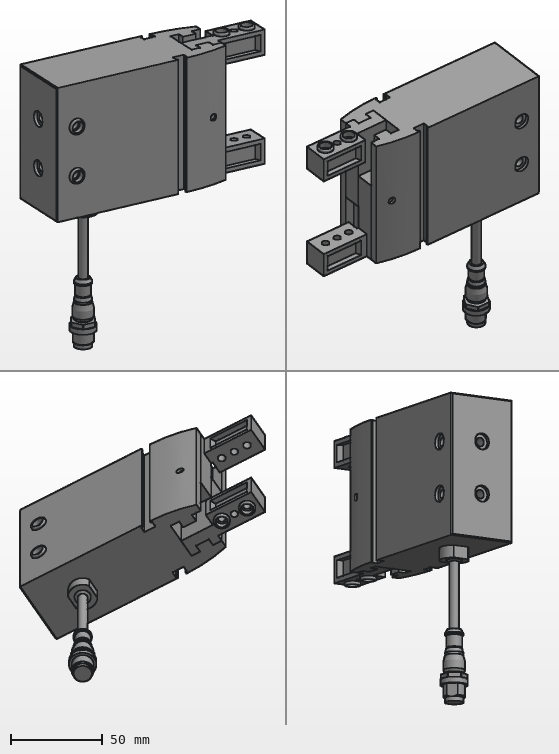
import cadquery as cq
import math


HOUSING_WIDTH = 39.0
HOUSING_HEIGHT = 79.3
HOUSING_LENGTH = 109.8
HALF_WIDTH = HOUSING_WIDTH / 2
MID_HEIGHT = HOUSING_HEIGHT / 2
REAR_CHAMFER = 0.7
NOSE_START = 82.8
NOSE_TAPER = 3.8
PIN_HOLE_DIAMETER = 4.0
PIN_HOLE_DEPTH = 3.3
PIN_HOLE_Y = 100.6

GROOVE_Y = 80.0
GROOVE_LENGTH = 7.0
GROOVE_MOUTH = 5.2
GROOVE_DEPTH = 4.5
GROOVE_LIP = 1.2

SLOT_REAR = 90.8
SLOT_HALF_WIDTH = 11.2
NECK_HALF_WIDTH = 6.8
NECK_REAR = 96.1
NECK_FRONT = 104.3

MOUNT_DIAMETER = 4.8
MOUNT_SPACING = 29.0
MOUNT_Y = 12.5
MOUNT_HEIGHTS = [MID_HEIGHT - MOUNT_SPACING / 2, MID_HEIGHT + MOUNT_SPACING / 2]

SLEEVE_DIAMETER = 9.0
SLEEVE_BORE = 6.7
SLEEVE_RISE = 1.7
SLEEVE_SINK = 2.0
SLEEVE_ROUND = 0.7

FINGER_WIDTH = 14.9
FINGER_HEIGHT = 15.0
FINGER_TIP = 139.5
SLIDE_HEIGHT = 50.0
FINGER_CLEARANCE = 1.0
FINGER_BOLT_DIAMETER = 4.2
FINGER_DOWEL_DIAMETER = 4.0
FINGER_HOLE_PITCH = 8.0
FINGER_DOWEL_Y = 124.5
FINGER_BOLT_YS = [FINGER_DOWEL_Y - FINGER_HOLE_PITCH, FINGER_DOWEL_Y + FINGER_HOLE_PITCH]
POCKET_REAR = 113.7
POCKET_FRONT = 136.9
POCKET_HEIGHT = 9.7
POCKET_DEPTH = 3.2
POCKET_END_RUN = 1.5

CABLE_Y = 28.5
CABLE_DIAMETER = 5.5
GLAND_DIAMETER = 16.0
GLAND_FLATS = 13.4
GLAND_HEIGHT = 6.8
GLAND_LIP_DIAMETER = 9.0
GLAND_LIP_HEIGHT = 0.8
PLUG_TOP = -45.4
COLLAR_DIAMETER = 7.7
RING_DIAMETER = 10.2
RING_TOP = -47.5
RING_BOTTOM = -48.4
BARREL_DIAMETER = 8.8
BARREL_TOP = -48.9
BARREL_BOTTOM = -55.4
BARREL_GROOVE_WIDTH = 0.5
SHOULDER_TOP = -58.4
SHOULDER_GROOVE_WIDTH = 1.3
GRIP_TOP = -63.3
GRIP_BOTTOM = -68.0
GRIP_END = -69.6
GRIP_DIAMETER = 12.0
GRIP_END_DIAMETER = 10.5
PLUG_GROOVE_DEPTH = 0.3
PLUG_NECK_DIAMETER = 8.3
NUT_TOP = -70.5
NUT_FLANGE_TOP = -73.1
NUT_FLANGE_BOTTOM = -76.3
NUT_DIAMETER = 15.0
NUT_FLATS = 13.0
NUT_CORNER_DIAMETER = 14.7
SHELL_BOTTOM = -83.5
SHELL_CHAMFER = 0.7
SHELL_FLAT_DISTANCE = 5.2
SHELL_FLAT_ANGLE = 225
PLUG_BOTTOM = -86.0


def box(x_range, y_range, z_range):
    """Axis-aligned box between the given limits."""
    (x0, x1), (y0, y1), (z0, z1) = x_range, y_range, z_range
    return cq.Workplane("XY").box(x1 - x0, y1 - y0, z1 - z0, centered=False).translate((x0, y0, z0))


def rod(diameter, start, direction, length):
    """Cylinder that runs from a start point along a direction."""
    solid = cq.Solid.makeCylinder(diameter / 2, length, cq.Vector(*start), cq.Vector(*direction))
    return cq.Workplane(solid)



def housing_blank():
    """Block with a chamfered rear face and sides that curve inward at the front."""
    nose_length = HOUSING_LENGTH - NOSE_START
    nose_radius = (nose_length**2 + NOSE_TAPER**2) / (2 * NOSE_TAPER)
    half_angle = math.asin(nose_length / nose_radius) / 2
    arc_x = HALF_WIDTH - nose_radius * (1 - math.cos(half_angle))
    arc_y = NOSE_START + nose_radius * math.sin(half_angle)
    nose_half_width = HALF_WIDTH - NOSE_TAPER
    blank = (
        cq.Workplane("XY")
        .moveTo(-HALF_WIDTH, 0)
        .lineTo(HALF_WIDTH, 0)
        .lineTo(HALF_WIDTH, NOSE_START)
        .threePointArc((arc_x, arc_y), (nose_half_width, HOUSING_LENGTH))
        .lineTo(-nose_half_width, HOUSING_LENGTH)
        .threePointArc((-arc_x, arc_y), (-HALF_WIDTH, NOSE_START))
        .close()
        .extrude(HOUSING_HEIGHT)
    )
    return blank.faces("<Y").chamfer(REAR_CHAMFER)


def side_groove(side):
    """Cutter for the undercut groove on the side with the given X sign."""
    def strip(length, near, far):
        width = far - near
        return (
            cq.Workplane("XY")
            .center(side * (HALF_WIDTH - near - width / 2), GROOVE_Y)
            .rect(width, length)
            .extrude(HOUSING_HEIGHT)
        )

    return strip(GROOVE_MOUTH, 0, GROOVE_DEPTH).union(strip(GROOVE_LENGTH, GROOVE_LIP, GROOVE_DEPTH))


def guide(left_sign, right_sign, z_range):
    """T-shaped guide; a sign of 0 ends it on the middle plane instead of at the full half-width."""
    rear_flange = (SLOT_HALF_WIDTH, (SLOT_REAR, NECK_REAR))
    neck = (NECK_HALF_WIDTH, (SLOT_REAR, HOUSING_LENGTH))
    front_flange = (SLOT_HALF_WIDTH, (NECK_FRONT, HOUSING_LENGTH))
    solid = cq.Workplane("XY")
    for half_width, y_range in (rear_flange, neck, front_flange):
        solid = solid.union(box((left_sign * half_width, right_sign * half_width), y_range, z_range))
    return solid


def mounting_holes():
    """Cutters for the crossing mounting holes with a sleeve seat at every mouth."""
    cutters = []
    for z in MOUNT_HEIGHTS:
        left = (-HALF_WIDTH, MOUNT_Y, z)
        right = (HALF_WIDTH, MOUNT_Y, z)
        rear = (0, 0, z)
        cutters.append(rod(MOUNT_DIAMETER, left, (1, 0, 0), HOUSING_WIDTH))
        cutters.append(rod(MOUNT_DIAMETER, rear, (0, 1, 0), MOUNT_Y))
        cutters.append(rod(SLEEVE_DIAMETER, left, (1, 0, 0), SLEEVE_SINK))
        cutters.append(rod(SLEEVE_DIAMETER, right, (-1, 0, 0), SLEEVE_SINK))
        cutters.append(rod(SLEEVE_DIAMETER, rear, (0, 1, 0), SLEEVE_SINK))
    return cutters


def cable_profile():
    """Turned cable and plug: radii against Z."""
    lip_bottom = -GLAND_HEIGHT - GLAND_LIP_HEIGHT
    barrel_groove_diameter = BARREL_DIAMETER - 2 * PLUG_GROOVE_DEPTH
    barrel_groove_bottom = BARREL_BOTTOM - BARREL_GROOVE_WIDTH
    shoulder_groove_diameter = RING_DIAMETER - 2 * PLUG_GROOVE_DEPTH
    shoulder_groove_bottom = SHOULDER_TOP - SHOULDER_GROOVE_WIDTH
    diameters_and_heights = [
        (GLAND_LIP_DIAMETER, 0),
        (GLAND_LIP_DIAMETER, -GLAND_HEIGHT),
        (CABLE_DIAMETER, lip_bottom),
        (CABLE_DIAMETER, PLUG_TOP),
        (COLLAR_DIAMETER, PLUG_TOP),
        (RING_DIAMETER, RING_TOP),
        (RING_DIAMETER, RING_BOTTOM),
        (BARREL_DIAMETER, BARREL_TOP),
        (BARREL_DIAMETER, BARREL_BOTTOM),
        (barrel_groove_diameter, BARREL_BOTTOM),
        (barrel_groove_diameter, barrel_groove_bottom),
        (BARREL_DIAMETER, barrel_groove_bottom),
        (RING_DIAMETER, SHOULDER_TOP),
        (shoulder_groove_diameter, SHOULDER_TOP),
        (shoulder_groove_diameter, shoulder_groove_bottom),
        (RING_DIAMETER, shoulder_groove_bottom),
        (GRIP_DIAMETER, GRIP_TOP),
        (GRIP_DIAMETER, GRIP_BOTTOM),
        (GRIP_END_DIAMETER, GRIP_END),
        (PLUG_NECK_DIAMETER, GRIP_END),
        (PLUG_NECK_DIAMETER, NUT_FLANGE_TOP),
        (NUT_DIAMETER, NUT_FLANGE_TOP),
        (NUT_DIAMETER, NUT_FLANGE_BOTTOM),
        (GRIP_DIAMETER, NUT_FLANGE_BOTTOM),
        (GRIP_DIAMETER, SHELL_BOTTOM + SHELL_CHAMFER),
        (GRIP_DIAMETER - 2 * SHELL_CHAMFER, SHELL_BOTTOM),
        (RING_DIAMETER, SHELL_BOTTOM),
        (RING_DIAMETER, PLUG_BOTTOM),
    ]
    points = [(diameter / 2, z) for diameter, z in diameters_and_heights]
    return [(0, 0)] + points + [(0, PLUG_BOTTOM)]


def cable():
    """Gland, cable and plug on the axis X = 0, Y = CABLE_Y."""
    body = cq.Workplane("XZ").polyline(cable_profile()).close().revolve(360, (0, 0), (0, 1))

    gland = cq.Workplane("XY").circle(GLAND_DIAMETER / 2).extrude(-GLAND_HEIGHT)
    gland = gland.intersect(cq.Workplane("XY").rect(GLAND_DIAMETER, GLAND_FLATS).extrude(-GLAND_HEIGHT))

    nut_height = NUT_TOP - NUT_FLANGE_TOP
    nut_plane = cq.Workplane("XY").workplane(offset=NUT_FLANGE_TOP)
    nut = nut_plane.polygon(6, NUT_FLATS, circumscribed=True).extrude(nut_height)
    nut = nut.intersect(nut_plane.circle(NUT_CORNER_DIAMETER / 2).extrude(nut_height))

    flat = box(
        (SHELL_FLAT_DISTANCE, GRIP_DIAMETER),
        (-GRIP_DIAMETER, GRIP_DIAMETER),
        (SHELL_BOTTOM, NUT_FLANGE_BOTTOM),
    ).rotate((0, 0, 0), (0, 0, 1), SHELL_FLAT_ANGLE)

    return body.cut(flat).union(gland).union(nut).translate((0, CABLE_Y, 0))


def make_housing():
    """Housing with its fixed cable, as one solid."""
    body = housing_blank()
    for side in (-1, 1):
        body = body.cut(side_groove(side))
        pin_mouth = (side * HALF_WIDTH, PIN_HOLE_Y, MID_HEIGHT)
        body = body.cut(rod(PIN_HOLE_DIAMETER, pin_mouth, (-side, 0, 0), PIN_HOLE_DEPTH))
    body = body.cut(guide(-1, 1, (0, HOUSING_HEIGHT)))
    for cutter in mounting_holes():
        body = body.cut(cutter)
    return body.union(cable())



def finger_pocket(side, z_middle):
    """Cutter for the side pocket of a finger, with sloped end walls."""
    mouth = side * FINGER_WIDTH / 2
    floor = mouth - side * POCKET_DEPTH
    outline = [
        (mouth, POCKET_REAR),
        (mouth, POCKET_FRONT),
        (floor, POCKET_FRONT - POCKET_END_RUN),
        (floor, POCKET_REAR + POCKET_END_RUN),
    ]
    plane = cq.Workplane("XY").workplane(offset=z_middle - POCKET_HEIGHT / 2)
    return plane.polyline(outline).close().extrude(POCKET_HEIGHT)


def make_upper_jaw():
    """Finger guided by the +X half of the T-slot, level with the top of the housing."""
    z_range = (HOUSING_HEIGHT - FINGER_HEIGHT, HOUSING_HEIGHT)
    half = FINGER_WIDTH / 2
    jaw = box((-half, half), (HOUSING_LENGTH + FINGER_CLEARANCE, FINGER_TIP), z_range)
    jaw = jaw.union(box((0, half), (HOUSING_LENGTH, FINGER_TIP), z_range))
    jaw = jaw.union(guide(0, 1, (HOUSING_HEIGHT - SLIDE_HEIGHT, HOUSING_HEIGHT)))

    for side in (-1, 1):
        jaw = jaw.cut(finger_pocket(side, HOUSING_HEIGHT - FINGER_HEIGHT / 2))

    down = (0, 0, -1)
    dowel_mouth = (0, FINGER_DOWEL_Y, HOUSING_HEIGHT)
    jaw = jaw.cut(rod(FINGER_DOWEL_DIAMETER, dowel_mouth, down, FINGER_HEIGHT))
    for y in FINGER_BOLT_YS:
        mouth = (0, y, HOUSING_HEIGHT)
        jaw = jaw.cut(rod(FINGER_BOLT_DIAMETER, mouth, down, FINGER_HEIGHT))
        jaw = jaw.cut(rod(SLEEVE_DIAMETER, mouth, down, SLEEVE_SINK))
    return jaw


def make_lower_jaw():
    """The upper jaw turned half a revolution about the lengthwise middle axis."""
    return make_upper_jaw().rotate((0, 0, MID_HEIGHT), (0, 1, MID_HEIGHT), 180)



def make_sleeve(seat, outward):
    """Sleeve whose seat point lies on the face it stands out of."""
    inner_end = tuple(place - SLEEVE_SINK * step for place, step in zip(seat, outward))
    length = SLEEVE_SINK + SLEEVE_RISE
    sleeve = rod(SLEEVE_DIAMETER, inner_end, outward, length)
    outer_end = cq.selectors.DirectionMinMaxSelector(cq.Vector(*outward))
    sleeve = sleeve.faces(outer_end).fillet(SLEEVE_ROUND)
    return sleeve.cut(rod(SLEEVE_BORE, inner_end, outward, length))


sleeve_places = [((HALF_WIDTH, MOUNT_Y, z), (1, 0, 0)) for z in MOUNT_HEIGHTS]
for bolt_y in FINGER_BOLT_YS:
    sleeve_places.append(((0, bolt_y, HOUSING_HEIGHT), (0, 0, 1)))
    sleeve_places.append(((0, bolt_y, 0), (0, 0, -1)))

housing = make_housing()
upper_jaw = make_upper_jaw()
lower_jaw = make_lower_jaw()
sleeves = [make_sleeve(seat, outward) for seat, outward in sleeve_places]

result = cq.Compound.makeCompound(
    [housing.val(), upper_jaw.val(), lower_jaw.val(), *[sleeve.val() for sleeve in sleeves]]
)